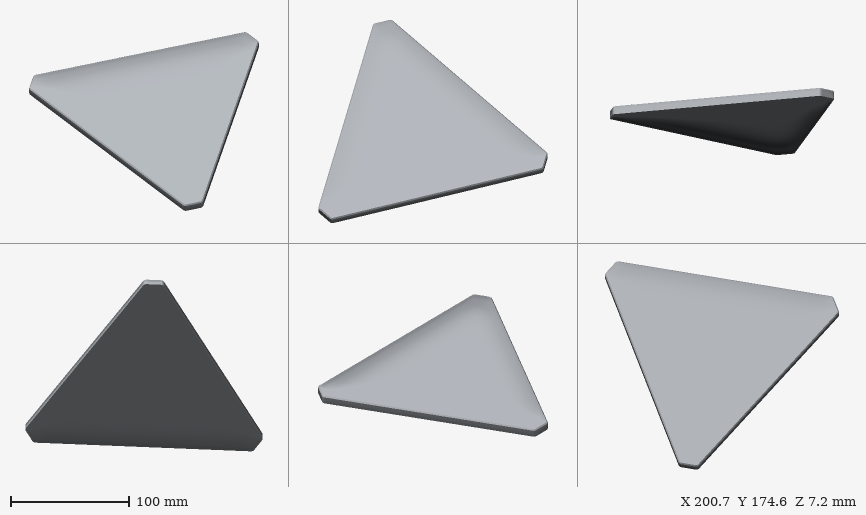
import cadquery as cq
import math

depth_across = 174.625
thickness = 7.2
tip_flat = 15.875
corner_radius = 3.175
top_chamfer = 1.0

tip_height = tip_flat * math.sin(math.radians(60))
triangle_height = depth_across + tip_height
inner_radius = triangle_height / 3
tip_distance = depth_across - inner_radius


def clipped_triangle_points():
    """Corners of the clipped triangle, centred on the origin with one tip toward +Y."""
    tip_corner_radius = math.hypot(tip_distance, tip_flat / 2)
    half_tip_angle = math.degrees(math.atan2(tip_flat / 2, tip_distance))
    points = []
    for tip_angle in (90, 210, 330):
        for side in (-1, 1):
            angle = math.radians(tip_angle + side * half_tip_angle)
            points.append((tip_corner_radius * math.cos(angle), tip_corner_radius * math.sin(angle)))
    return points


def make_plate():
    """Flat plate with rounded vertical edges and a bevelled top rim."""
    plate = cq.Workplane("XY").polyline(clipped_triangle_points()).close().extrude(thickness)
    plate = plate.edges("|Z").fillet(corner_radius)
    return plate.faces(">Z").chamfer(top_chamfer)


result = make_plate()